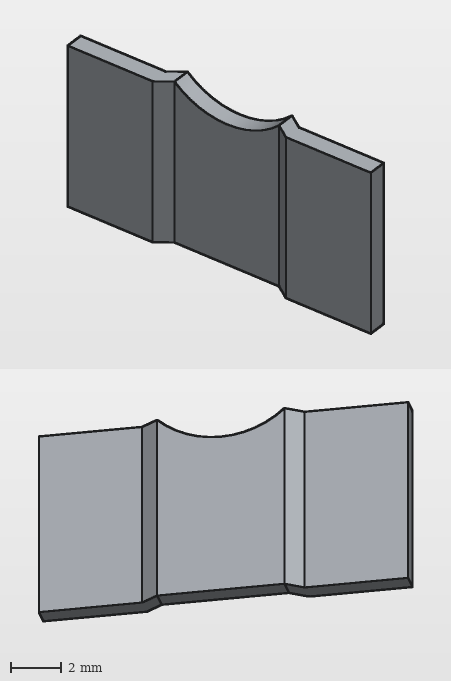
import cadquery as cq
import math

total_length = 15.0
total_height = 7.75
thickness = 0.87
offset = 0.5
total_depth = thickness + offset

tab_length = 4.2
bend_angle = 35.0

end_half = total_length / 2
bend_half = end_half - tab_length
plate_half = bend_half - offset / math.tan(math.radians(bend_angle))

notch_depth = 1.0

front_y = -total_depth / 2
plate_y = front_y + offset
bottom_z = -total_height / 2
top_z = total_height / 2


def make_plate():
    """Flat middle plate with a shallow arc across its full top edge."""
    return (
        cq.Workplane("XZ", origin=(0, plate_y, 0))
        .moveTo(-plate_half, bottom_z)
        .lineTo(plate_half, bottom_z)
        .lineTo(plate_half, top_z)
        .threePointArc((0, top_z - notch_depth), (-plate_half, top_z))
        .close()
        .extrude(-thickness)
    )


def make_terminal(side):
    """Flat end tab with a sloped part that steps back to the plate; side is -1 (left) or 1 (right)."""
    return (
        cq.Workplane("XY", origin=(0, 0, bottom_z))
        .moveTo(side * plate_half, plate_y)
        .lineTo(side * bend_half, front_y)
        .lineTo(side * end_half, front_y)
        .lineTo(side * end_half, front_y + thickness)
        .lineTo(side * bend_half, front_y + thickness)
        .lineTo(side * plate_half, plate_y + thickness)
        .close()
        .extrude(total_height)
    )


plate = make_plate()
terminals = [make_terminal(side) for side in (-1, 1)]

result = cq.Compound.makeCompound([plate.val(), *[terminal.val() for terminal in terminals]])